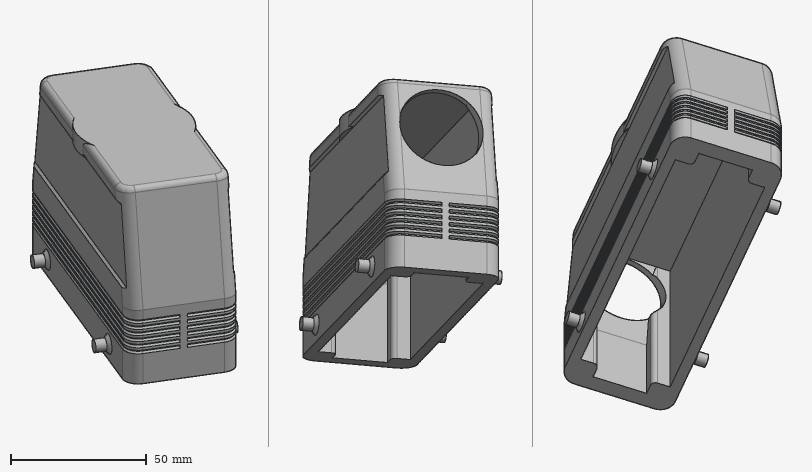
import cadquery as cq
import math

LENGTH = 120.0
WIDTH = 43.5
HEIGHT = 76.0
SHOULDER_Z = 30.2
END_SLOPE = 12.0
CORNER_R = 6.0
TOP_R = 2.4

RECESS_DEPTH = 1.1
RECESS_BOTTOM_Z = 37.2
RECESS_TOP_Z = 70.0
RECESS_BEVEL = 0.8

LOBE_R = 25.0
LOBE_REACH = 22.5

GROOVE_COUNT = 6
GROOVE_FIRST_Z = 13.1
GROOVE_LAST_Z = 25.5
GROOVE_DEPTH = 0.7
GROOVE_FLANK = 45.0
GROOVE_GAP = 2.9

PIN_X = 37.2
PIN_Z = 6.6
PIN_R = 2.5
PIN_REACH = 27.5
PIN_COLLAR_R = 4.0

CAVITY_LENGTH = 97.2
CAVITY_WIDTH = 35.3
CAVITY_TOP_Z = 72.7
CHANNEL_WIDTH = 21.1
CHANNEL_MOUTH_R = 2.0
CHANNEL_SLOPE = 7.8

ENTRY_R = 16.0
ENTRY_DEPTH = 12.0
ENTRY_Z = 57.0

HALF_LENGTH = LENGTH / 2
HALF_WIDTH = WIDTH / 2
SIDES = (-1, 1)


def end_wall_x(z):
    """Distance of the sloping end wall from the centre at height z."""
    return HALF_LENGTH - (z - SHOULDER_Z) * math.tan(math.radians(END_SLOPE))


def extrude_across(outline, width):
    """Extrude a closed XZ outline along Y, centred on the XZ plane."""
    return cq.Workplane("XZ").polyline(outline).close().extrude(width / 2, both=True)


def skirted_outline(low_x, low_z, high_x, high_z):
    """Symmetric XZ outline with upright lower ends and leaning upper ends."""
    return [(-low_x, 0), (low_x, 0), (low_x, low_z), (high_x, high_z), (-high_x, high_z), (-low_x, low_z)]


def outer_body():
    outline = skirted_outline(HALF_LENGTH, SHOULDER_Z, end_wall_x(HEIGHT), HEIGHT)
    body = extrude_across(outline, WIDTH)
    body = body.edges("not (|X or |Y)").fillet(CORNER_R)
    return body.faces(">Z").edges().fillet(TOP_R)


def side_recess(side):
    outer_y = side * HALF_WIDTH
    inner_y = side * (HALF_WIDTH - RECESS_DEPTH)
    outline = [
        (outer_y, RECESS_BOTTOM_Z),
        (inner_y, RECESS_BOTTOM_Z + RECESS_BEVEL),
        (inner_y, RECESS_TOP_Z - RECESS_BEVEL),
        (outer_y, RECESS_TOP_Z),
    ]
    return cq.Workplane("YZ").polyline(outline).close().extrude(HALF_LENGTH, both=True)


def top_lobe(side):
    bottom_z = RECESS_TOP_Z - RECESS_BEVEL
    disc = (
        cq.Workplane("XY", origin=(0, side * (LOBE_REACH - LOBE_R), bottom_z))
        .circle(LOBE_R)
        .extrude(HEIGHT - bottom_z)
    )
    outer_half = cq.Workplane("XY").box(LENGTH, WIDTH, 2 * HEIGHT).translate((0, side * HALF_WIDTH, 0))
    return disc.intersect(outer_half)


def skirt_section(z, inset):
    """Rounded outline of the skirt at height z, shrunk by inset."""
    sketch = cq.Sketch().rect(LENGTH - 2 * inset, WIDTH - 2 * inset).vertices().fillet(CORNER_R - inset)
    return cq.Workplane("XY", origin=(0, 0, z)).placeSketch(sketch)


def groove(z):
    """V-groove with 45 degree flanks, interrupted at the middle of both end walls."""
    core = skirt_section(z, GROOVE_DEPTH).extrude(GROOVE_DEPTH, taper=-GROOVE_FLANK)
    core = core.union(skirt_section(z, GROOVE_DEPTH).extrude(-GROOVE_DEPTH, taper=-GROOVE_FLANK))
    slab = cq.Workplane("XY", origin=(0, 0, z)).box(2 * LENGTH, 2 * WIDTH, 2 * GROOVE_DEPTH)
    end_strip = cq.Workplane("XY", origin=(0, 0, z)).box(2 * LENGTH, GROOVE_GAP, 2 * GROOVE_DEPTH)
    return slab.cut(core).cut(end_strip)


def pin(x, side):
    collar_y = HALF_WIDTH + PIN_COLLAR_R - PIN_R
    root_y = HALF_WIDTH - RECESS_DEPTH
    profile = [
        (0, root_y),
        (PIN_COLLAR_R, root_y),
        (PIN_COLLAR_R, HALF_WIDTH),
        (PIN_R, collar_y),
        (PIN_R, PIN_REACH),
        (0, PIN_REACH),
    ]
    turned = cq.Workplane("XY").polyline(profile).close().revolve(360, (0, 0), (0, 1))
    if side < 0:
        turned = turned.mirror("XZ")
    return turned.translate((x, 0, PIN_Z))


def end_channels():
    """Channels in both cavity ends: rounded mouths and floors leaning with the end walls."""
    mouth_x = CAVITY_LENGTH / 2
    floor_x = mouth_x + (CAVITY_TOP_Z - SHOULDER_Z) * math.tan(math.radians(CHANNEL_SLOPE))
    throat_x = mouth_x + CHANNEL_MOUTH_R
    side_y = CHANNEL_WIDTH / 2
    mouth_y = side_y + CHANNEL_MOUTH_R
    floors = extrude_across(skirted_outline(floor_x, SHOULDER_Z, mouth_x, CAVITY_TOP_Z), CAVITY_WIDTH)
    plan = cq.Workplane("XY").rect(LENGTH, CHANNEL_WIDTH).extrude(HEIGHT)
    for end in SIDES:
        for side in SIDES:
            rounding = (
                cq.Workplane("XY")
                .moveTo(end * mouth_x, side * side_y)
                .lineTo(end * mouth_x, side * mouth_y)
                .radiusArc((end * throat_x, side * side_y), end * side * -CHANNEL_MOUTH_R)
                .close()
                .extrude(HEIGHT)
            )
            plan = plan.union(rounding)
    return floors.intersect(plan)


def cavity():
    box = cq.Workplane("XY").rect(CAVITY_LENGTH, CAVITY_WIDTH).extrude(CAVITY_TOP_Z)
    return box.union(end_channels())


def cable_entry():
    lean = math.radians(END_SLOPE)
    inward = cq.Vector(math.cos(lean), 0, -math.sin(lean))
    centre = cq.Vector(-end_wall_x(ENTRY_Z), 0, ENTRY_Z)
    drill = cq.Solid.makeCylinder(ENTRY_R, 2 * ENTRY_DEPTH, centre - inward * ENTRY_DEPTH, inward)
    return cq.Workplane(drill)


groove_pitch = (GROOVE_LAST_Z - GROOVE_FIRST_Z) / (GROOVE_COUNT - 1)

result = outer_body()
for side in SIDES:
    result = result.cut(side_recess(side)).union(top_lobe(side))
for index in range(GROOVE_COUNT):
    result = result.cut(groove(GROOVE_FIRST_Z + index * groove_pitch))
for side in SIDES:
    for end in SIDES:
        result = result.union(pin(end * PIN_X, side))
result = result.cut(cavity()).cut(cable_entry())